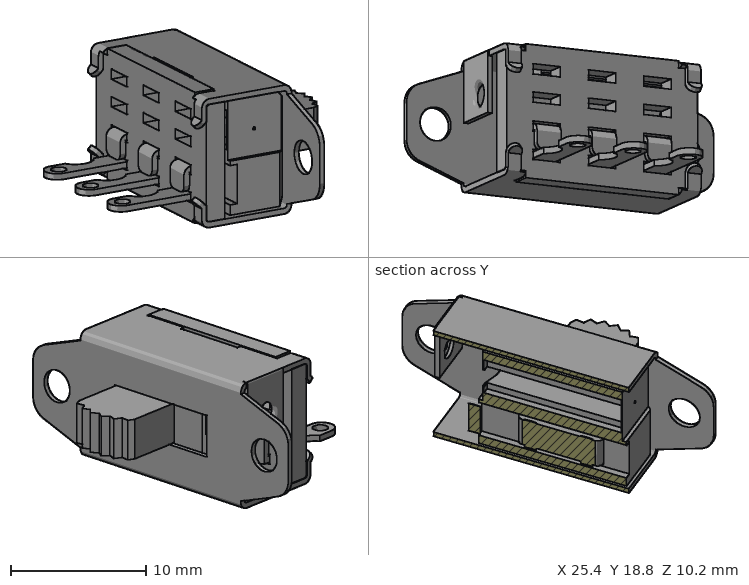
import cadquery as cq
import math


FRAME_HALF_X = 7.98
FRAME_HALF_Z = 5.0
FRAME_DEPTH = 7.73
PLATE_THICKNESS = 0.4
WALL_THICKNESS = 0.45
INNER_HALF_Z = FRAME_HALF_Z - WALL_THICKNESS
BEND_OUTER_RADIUS = 0.65
BEND_INNER_RADIUS = 0.25
BEND_CENTER_Z = FRAME_HALF_Z - BEND_OUTER_RADIUS
WINDOW_HALF_X = 4.58
WINDOW_HALF_Z = 1.65
WALL_VENT_HALF_X = 2.81
WALL_VENT_Y = -5.37

EAR_HALF_X = 12.7
EAR_TIP_HALF_Z = 2.54
EAR_SLOPE = math.radians(20)
EAR_CORNER_RADIUS = 1.6
MOUNT_HOLE_X = 10.31
MOUNT_HOLE_DIAMETER = 2.54

LIP_THICKNESS = 0.4
LIP_WIDTH = 1.53
LIP_END_ANGLE = math.radians(37)
TAB_WIDTH = 1.1
TAB_BEND_Z = 3.44
TAB_BEND_ANGLE = math.radians(45)
TAB_BENT_LENGTH = 0.67
TAB_END_RADIUS = 0.99 * TAB_WIDTH / 2

DETENT_X = -8.1
DETENT_THICKNESS = 0.4
DETENT_Y_FRONT = -0.61
DETENT_Y_REAR = -4.58
DETENT_Z_LOW = 0.25
DETENT_TOP_RADIUS = 0.13
SPRING_Y = -2.92
SPRING_Z = 1.88
SPRING_HOLE_DIAMETER = 1.6
SPRING_HOLE_RIM_RADIUS = 0.38

BOARD_HALF_X = 7.9
BOARD_TONGUE_HALF_X = 6.31
BOARD_TONGUE_HALF_Z = 5.08
BOARD_FRONT_Y = -5.71
BOARD_REAR_Y = BOARD_FRONT_Y - 1.62
SLOT_PITCH_X = 4.58
SLOT_WIDTH = 2.25
SLOT_HEIGHT = 0.78
SLOT_INNER_Z = 1.1
SLOT_OUTER_Z = 3.24

SLIDER_X = 1.76
SLIDER_HALF_X = 6.03
SLIDER_HALF_Z = 4.4
SLIDER_FRONT_Y = -PLATE_THICKNESS
SLIDER_REAR_Y = -5.19
SLIDER_CHAMFER = 0.5
END_RELIEF = 0.32
END_RELIEF_Z = -0.2
TRACK_DEPTH = 0.61
TRACK_LOW_Z = 0.55
TRACK_HIGH_Z = 3.6
TRACK_END_WALL = 0.13
SPRING_SLOT_WIDTH = 1.53
SPRING_SEAT_RADIUS = 1.92
SPRING_SEAT_DEPTH = 0.4
SPRING_PIT_DIAMETER = 0.2
SPRING_PIT_DEPTH = 0.2
KNOB_HALF_X = 2.77
KNOB_HALF_Z = 1.575
KNOB_SHOULDER_Y = 3.97
KNURL_CENTER_Y = 0.63
KNURL_TIP_RADIUS = 4.6
KNURL_VALLEY_RADIUS = 4.2
KNURL_STEP = math.radians(20 / 3)
KNURL_STEPS_EACH_SIDE = 5

CONTACT_X_LOW = -1.2
CONTACT_X_HIGH = 5.7
CONTACT_Z_LOW = -3.32
CONTACT_Z_HIGH = -0.94
CONTACT_REAR_Y = -5.09
CONTACT_END_RADIUS = 0.5

TERMINAL_OFFSET_X = -0.05
TERMINAL_WIDTH = 2.0
TERMINAL_THICKNESS = 0.48
TERMINAL_TOP_Z = -0.88
TERMINAL_BOTTOM_Z = -3.5
TERMINAL_DOME = 0.19
TERMINAL_END_Y = -13.65
CLINCH_LOW_Z = -2.9
CLINCH_BEND_RADIUS = 0.62
CLINCH_CORNER_RADIUS = 0.55
SOLDER_HOLE_Y = -12.51
SOLDER_HOLE_DIAMETER = 1.17
NOTCH_Y = -10.12
NOTCH_RADIUS = 1.4
NOTCH_DEPTH = 0.75


def box(x0, x1, y0, y1, z0, z1):
    """Box between two X, two Y and two Z positions."""
    return cq.Workplane("XY").box(x1 - x0, y1 - y0, z1 - z0, centered=False).translate((x0, y0, z0))


def cylinder_x(x, length, diameter):
    """Cylinder on the spring axis, running in +X from x."""
    return cq.Workplane("YZ", origin=(x, SPRING_Y, SPRING_Z)).circle(diameter / 2).extrude(length)


def cone_x(x, length, start_radius, end_radius):
    """Cone on the spring axis, running in +X from x."""
    solid = cq.Solid.makeCone(
        start_radius, end_radius, length, cq.Vector(x, SPRING_Y, SPRING_Z), cq.Vector(1, 0, 0)
    )
    return cq.Workplane(obj=solid)


def both_z(shape):
    """A shape together with its mirror image below the XY plane."""
    return shape.union(shape.mirror("XY"))


def ear_plate():
    root_half_z = EAR_TIP_HALF_Z + (EAR_HALF_X - FRAME_HALF_X) * math.tan(EAR_SLOPE)
    right_side = [
        (EAR_HALF_X, EAR_TIP_HALF_Z),
        (FRAME_HALF_X, root_half_z),
    ]
    upper = right_side + [(-x, z) for x, z in reversed(right_side)]
    lower = [(-x, -z) for x, z in upper]
    plate = cq.Workplane("XZ").polyline(upper + lower).close().extrude(PLATE_THICKNESS)
    plate = plate.edges("|Y and (<X or >X)").fillet(EAR_CORNER_RADIUS)
    holes = (
        cq.Workplane("XZ")
        .pushPoints([(-MOUNT_HOLE_X, 0), (MOUNT_HOLE_X, 0)])
        .circle(MOUNT_HOLE_DIAMETER / 2)
        .extrude(PLATE_THICKNESS)
    )
    return plate.cut(holes)


def corner_tab(side):
    """Upper rear retaining tab on the +X (side = 1) or -X (side = -1) end.

    It runs down behind the board, then bends 45 degrees outward and ends in a half round.
    """
    diagonal = math.sin(TAB_BEND_ANGLE)
    mitre = LIP_THICKNESS * math.tan(TAB_BEND_ANGLE / 2)
    outer_tip = (-FRAME_DEPTH - TAB_BENT_LENGTH * diagonal, TAB_BEND_Z - TAB_BENT_LENGTH * diagonal)
    inner_tip = (outer_tip[0] + LIP_THICKNESS * diagonal, outer_tip[1] - LIP_THICKNESS * diagonal)
    profile = [
        (-FRAME_DEPTH, BEND_CENTER_Z),
        (-FRAME_DEPTH, TAB_BEND_Z),
        outer_tip,
        inner_tip,
        (BOARD_REAR_Y, TAB_BEND_Z - mitre),
        (BOARD_REAR_Y, BEND_CENTER_Z),
    ]
    start_x = FRAME_HALF_X - TAB_WIDTH if side > 0 else -FRAME_HALF_X
    tab = cq.Workplane("YZ", origin=(start_x, 0, 0)).polyline(profile).close().extrude(TAB_WIDTH)
    tip_edges = tab.edges(cq.selectors.ParallelDirSelector(cq.Vector(0, 1, -1)))
    return tip_edges.fillet(TAB_END_RADIUS)


def lip_end_cutter():
    """Cutter that trims the rear bends along radial planes, leaving the corner tabs whole."""
    half_x = FRAME_HALF_X - TAB_WIDTH
    bend_center_y = BEND_OUTER_RADIUS - FRAME_DEPTH
    reach = 2 * BEND_OUTER_RADIUS
    trim_y = bend_center_y - reach
    trim_z = BEND_CENTER_Z + reach * math.tan(LIP_END_ANGLE)
    profile = [
        (bend_center_y, BEND_CENTER_Z),
        (trim_y, trim_z),
        (trim_y, -trim_z),
        (bend_center_y, -BEND_CENTER_Z),
    ]
    return cq.Workplane("YZ").polyline(profile).close().extrude(half_x, both=True)


def frame():
    x = FRAME_HALF_X
    outer = box(-x, x, -FRAME_DEPTH, 0, -FRAME_HALF_Z, FRAME_HALF_Z)
    outer = outer.edges("|X").fillet(BEND_OUTER_RADIUS)
    inner = box(-x, x, BOARD_REAR_Y, -PLATE_THICKNESS, -INNER_HALF_Z, INNER_HALF_Z)
    inner = inner.edges("|X").fillet(BEND_INNER_RADIUS)
    shell = outer.cut(inner)

    lip_inner_x = x - LIP_WIDTH
    shell = shell.cut(box(-x, x, -FRAME_DEPTH, BOARD_REAR_Y, -TAB_BEND_Z, TAB_BEND_Z))
    shell = shell.cut(lip_end_cutter())
    shell = shell.cut(
        box(-lip_inner_x, lip_inner_x, -FRAME_DEPTH, BOARD_FRONT_Y, -FRAME_HALF_Z, FRAME_HALF_Z)
    )
    shell = shell.cut(
        box(-WALL_VENT_HALF_X, WALL_VENT_HALF_X, -FRAME_DEPTH, WALL_VENT_Y, -FRAME_HALF_Z, FRAME_HALF_Z)
    )
    for side in (-1, 1):
        shell = shell.union(both_z(corner_tab(side)))

    shell = shell.union(ear_plate())
    return shell.cut(
        box(-WINDOW_HALF_X, WINDOW_HALF_X, -PLATE_THICKNESS, 0, -WINDOW_HALF_Z, WINDOW_HALF_Z)
    )


def detent_plate():
    plate = box(
        DETENT_X, DETENT_X + DETENT_THICKNESS, DETENT_Y_REAR, DETENT_Y_FRONT, DETENT_Z_LOW, FRAME_HALF_Z
    )
    plate = plate.edges("|Y and <X and >Z").fillet(DETENT_TOP_RADIUS)
    plate = plate.cut(cylinder_x(DETENT_X, DETENT_THICKNESS, SPRING_HOLE_DIAMETER))
    return plate.faces("<X").edges("%CIRCLE").fillet(SPRING_HOLE_RIM_RADIUS)


def board():
    panel = box(-BOARD_HALF_X, BOARD_HALF_X, BOARD_REAR_Y, BOARD_FRONT_Y, -INNER_HALF_Z, INNER_HALF_Z)
    tongue = box(
        -BOARD_TONGUE_HALF_X,
        BOARD_TONGUE_HALF_X,
        BOARD_REAR_Y,
        BOARD_FRONT_Y,
        -BOARD_TONGUE_HALF_Z,
        BOARD_TONGUE_HALF_Z,
    )
    rows = (-SLOT_OUTER_Z, -SLOT_INNER_Z, SLOT_INNER_Z, SLOT_OUTER_Z)
    slots = (
        cq.Workplane("XZ", origin=(0, BOARD_FRONT_Y, 0))
        .pushPoints([(column * SLOT_PITCH_X, z) for column in (-1, 0, 1) for z in rows])
        .rect(SLOT_WIDTH, SLOT_HEIGHT)
        .extrude(BOARD_FRONT_Y - BOARD_REAR_Y)
    )
    return panel.union(tongue).cut(slots)


def slider():
    left = SLIDER_X - SLIDER_HALF_X
    right = SLIDER_X + SLIDER_HALF_X
    body = box(left, right, SLIDER_REAR_Y, SLIDER_FRONT_Y, -SLIDER_HALF_Z, SLIDER_HALF_Z)
    body = body.faces(">Y").chamfer(SLIDER_CHAMFER)

    relieved_left = left + END_RELIEF
    relieved_right = right - END_RELIEF
    for x0, x1 in ((left, relieved_left), (relieved_right, right)):
        body = body.cut(box(x0, x1, SLIDER_REAR_Y, SLIDER_FRONT_Y, END_RELIEF_Z, SLIDER_HALF_Z))

    track_y = SLIDER_REAR_Y + TRACK_DEPTH
    body = body.cut(box(left, right, SLIDER_REAR_Y, track_y, -TRACK_HIGH_Z, -TRACK_LOW_Z))
    track_left = relieved_left + TRACK_END_WALL
    track_right = relieved_right - TRACK_END_WALL
    body = body.cut(box(track_left, track_right, SLIDER_REAR_Y, track_y, TRACK_LOW_Z, TRACK_HIGH_Z))

    half_width = SPRING_SLOT_WIDTH / 2
    slot_length = track_right - relieved_left
    body = body.cut(cylinder_x(relieved_left, slot_length, SPRING_SLOT_WIDTH))
    body = body.cut(
        box(relieved_left, track_right, SLIDER_REAR_Y, SPRING_Y, SPRING_Z - half_width, SPRING_Z + half_width)
    )
    body = body.cut(cylinder_x(track_right, SPRING_PIT_DEPTH, SPRING_PIT_DIAMETER))
    return body.cut(cone_x(relieved_left, SPRING_SEAT_DEPTH, SPRING_SEAT_RADIUS, half_width))


def knob():
    """Grip with tips and valleys alternating on two circles about one center."""
    knurl = []
    for step in range(-KNURL_STEPS_EACH_SIDE, KNURL_STEPS_EACH_SIDE + 1):
        radius = KNURL_VALLEY_RADIUS if step % 2 == 0 else KNURL_TIP_RADIUS
        angle = step * KNURL_STEP
        knurl.append((radius * math.sin(angle), KNURL_CENTER_Y + radius * math.cos(angle)))
    outline = [(-KNOB_HALF_X, SLIDER_FRONT_Y), (-KNOB_HALF_X, KNOB_SHOULDER_Y)]
    outline += knurl
    outline += [(KNOB_HALF_X, KNOB_SHOULDER_Y), (KNOB_HALF_X, SLIDER_FRONT_Y)]
    grip = cq.Workplane("XY").polyline(outline).close().extrude(KNOB_HALF_Z, both=True)
    return grip.translate((SLIDER_X, 0, 0))


def moving_contact():
    contact = box(
        CONTACT_X_LOW,
        CONTACT_X_HIGH,
        CONTACT_REAR_Y,
        SLIDER_REAR_Y + TRACK_DEPTH,
        CONTACT_Z_LOW,
        CONTACT_Z_HIGH,
    )
    return contact.edges("|Z and <Y").fillet(CONTACT_END_RADIUS)


def terminal():
    """Terminal centered on X = 0: domed base, clinched upper leg and solder blade."""
    half = TERMINAL_WIDTH / 2
    base_y = BOARD_FRONT_Y + TERMINAL_THICKNESS
    base = (
        cq.Workplane("XY", origin=(0, 0, TERMINAL_BOTTOM_Z))
        .moveTo(-half, BOARD_FRONT_Y)
        .lineTo(-half, base_y)
        .threePointArc((0, base_y + TERMINAL_DOME), (half, base_y))
        .lineTo(half, BOARD_FRONT_Y)
        .close()
        .extrude(TERMINAL_TOP_Z - TERMINAL_BOTTOM_Z)
    )

    clinch_y = BOARD_REAR_Y - TERMINAL_THICKNESS
    leg_low_z = TERMINAL_TOP_Z - TERMINAL_THICKNESS
    leg = box(-half, half, clinch_y, BOARD_FRONT_Y, CLINCH_LOW_Z, TERMINAL_TOP_Z)
    leg = leg.edges("|X and <Y and >Z").fillet(CLINCH_BEND_RADIUS)
    leg = leg.edges("|Y and <Z").fillet(CLINCH_CORNER_RADIUS)
    leg = leg.cut(box(-half, half, BOARD_REAR_Y, BOARD_FRONT_Y, CLINCH_LOW_Z, leg_low_z))

    blade = (
        cq.Workplane("XY", origin=(0, 0, TERMINAL_BOTTOM_Z))
        .moveTo(-half, BOARD_FRONT_Y)
        .lineTo(-half, TERMINAL_END_Y + half)
        .threePointArc((0, TERMINAL_END_Y), (half, TERMINAL_END_Y + half))
        .lineTo(half, BOARD_FRONT_Y)
        .close()
        .extrude(TERMINAL_THICKNESS)
    )
    notch_x = -half + NOTCH_DEPTH - NOTCH_RADIUS
    openings = (
        cq.Workplane("XY", origin=(0, 0, TERMINAL_BOTTOM_Z))
        .moveTo(0, SOLDER_HOLE_Y)
        .circle(SOLDER_HOLE_DIAMETER / 2)
        .moveTo(notch_x, NOTCH_Y)
        .circle(NOTCH_RADIUS)
        .extrude(TERMINAL_THICKNESS)
    )
    return base.union(leg).union(blade.cut(openings))


result = frame().union(detent_plate()).union(board())
result = result.union(slider()).union(knob()).union(moving_contact())
for column in (-1, 0, 1):
    result = result.union(terminal().translate((column * SLOT_PITCH_X + TERMINAL_OFFSET_X, 0, 0)))